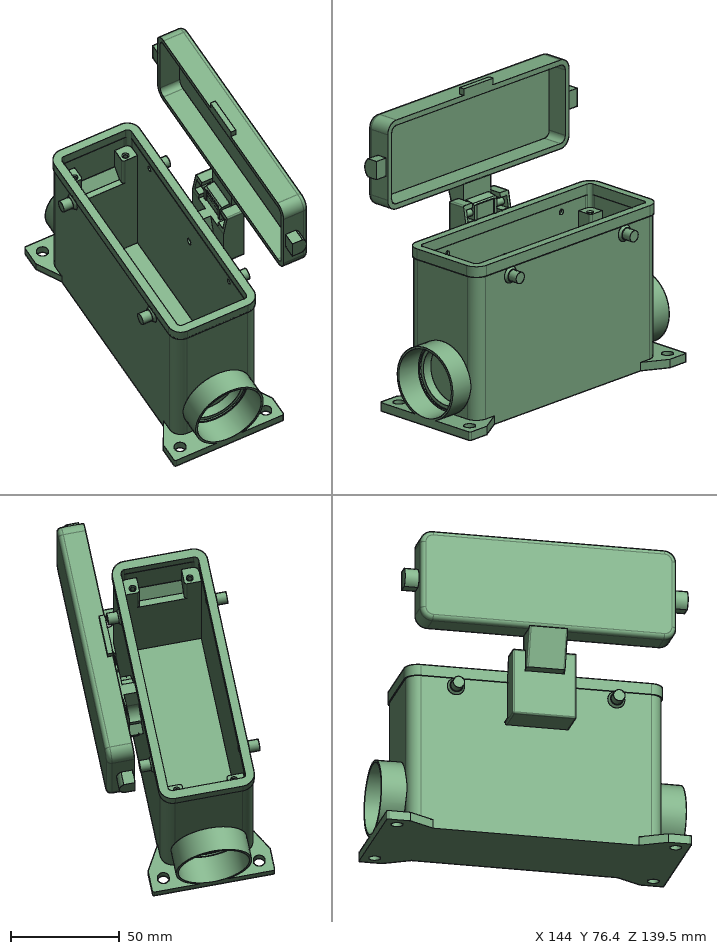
import cadquery as cq
import math

BODY_LENGTH = 120.7
BODY_WIDTH = 43.5
BODY_CORNER_RADIUS = 5.9
HOUSING_HEIGHT = 79.8
RIM_HEIGHT = 5.3
RIM_OVERHANG = 0.6
CAVITY_LENGTH = 113.5
CAVITY_WIDTH = 36.3
CAVITY_CORNER_RADIUS = 2.0
CAVITY_UNDERCUT = 0.1
LOWER_CAVITY_CORNER_RADIUS = 2.9
FLOOR_THICKNESS = 4.2

BODY_SIDE_Y = BODY_WIDTH / 2
CAVITY_END_X = CAVITY_LENGTH / 2
CAVITY_SIDE_Y = CAVITY_WIDTH / 2

POST_LENGTH = 7.5
POST_WIDTH = 7.6
POST_TOP_Z = 68.1
POST_EDGE_RADIUS = 1.2
SCREW_HOLE_RADIUS = 1.0
SCREW_HOLE_CHAMFER = 0.6
SCREW_HOLE_DEPTH = 14.4
SCREW_HOLE_X = 51.8
SCREW_HOLE_Y = 13.4
RAMP_TOP_Z = 56.3
RAMP_RUN = 4.5
WALL_OVERLAP = 1.5

FOOT_END_X = 72.0
FOOT_WIDTH = 57.3
FOOT_THICKNESS = 4.2
FOOT_STRAIGHT_X = 60.9
FOOT_INNER_X = 48.7
FOOT_CORNER_RADIUS = 0.9
MOUNT_HOLE_RADIUS = 2.7
MOUNT_HOLE_X = 65.8
MOUNT_HOLE_Y = 22.5

ENTRY_RADIUS = 17.7
ENTRY_Z = 20.6
ENTRY_BORE_RADIUS = 16.7
ENTRY_BORE_DEPTH = 13.0
ENTRY_STEP_RADIUS = 16.0
ENTRY_STEP_DEPTH = 13.8
KNOCKOUT_RADIUS = 14.3
KNOCKOUT_DEPTH = 18.7

PEG_RADIUS = 2.7
PEG_TIP_Y = 28.0
PEG_X = 37.9
PEG_Z = 70.5
PEG_BASE_RADIUS = 4.0
PEG_BASE_TIP_RADIUS = 3.0
PEG_BASE_HEIGHT = 1.3
PEG_DIMPLE_RADIUS = 1.3
RIVET_DIMPLE_RADIUS = 1.6
RIVET_DIMPLE_Z = 58.6
DIMPLE_DEPTH = 1.5

PEDESTAL_TOP_Z = 74.3
PEDESTAL_BOTTOM_Z = 54.9
PEDESTAL_TOP_HALF_WIDTH = 2.6
PEDESTAL_NECK_HALF_WIDTH = 4.9
PEDESTAL_NECK_Z = 66.1
PEDESTAL_SHOULDER_Z = 60.2
PEDESTAL_FLARE_HALF_WIDTH = 10.8
PEDESTAL_FLARE_Z = 57.9
BRACKET_HALF_WIDTH = 15.0
BRACKET_FRONT_Y = 28.2
BRACKET_BACK_Y = 39.3
BRACKET_TOP_FRONT_Y = 30.1
BRACKET_BOTTOM_Z = 53.0
BRACKET_TOP_Z = 84.7
FLANGE_FRONT_Y = 23.8
BRACKET_EDGE_RADIUS = 0.7
SLOT_HALF_WIDTH = 9.2
PIN_RADIUS = 1.7
PIN_Y = 32.8
PIN_Z = 78.9
POCKET_SIDE_X = 13.4
POCKET_BOTTOM_Z = 76.6
POCKET_TOP_Z = 82.4
POCKET_BACK_Y = 34.5

COVER_LENGTH = 120.7
COVER_BOTTOM_Z = 92.7
COVER_TOP_Z = 136.4
COVER_FRONT_Y = 34.8
COVER_BACK_Y = 47.7
COVER_CORNER_RADIUS = 5.8
COVER_BACK_RADIUS = 2.3
COVER_WALL = 2.6
COVER_CAVITY_DEPTH = 10.2
TAB_HALF_WIDTH = 9.8
TAB_THICKNESS = 2.6
TAB_TOP_Z = 139.5
EAR_TIP_X = 66.8
EAR_HALF_HEIGHT = 4.5
EAR_FRONT_Y = 35.9
EAR_ROUND_Y = 41.2
EAR_BACK_Y = 43.3
COVER_CENTRE_Z = (COVER_BOTTOM_Z + COVER_TOP_Z) / 2

STEM_HALF_WIDTH = 9.0
STEM_FRONT_Y = 35.5
STEM_BOTTOM_Z = 75.3
STEM_BOTTOM_BACK_Y = 42.0
STEM_TOP_BACK_Y = 47.5
STEM_TOP_Z = 93.6
STEM_EDGE_RADIUS = 0.7
KNUCKLE_HALF_WIDTH = 7.5
KNUCKLE_FRONT_Y = 30.2
KNUCKLE_TOP_Z = 84.4
KNUCKLE_LEDGE_Y = 31.4
KNUCKLE_LEDGE_Z = 83.5
KNUCKLE_LIP_Z = 82.8
KNUCKLE_RECESS_HALF_WIDTH = 5.8
KNUCKLE_RECESS_DEPTH = 0.6

ENDS = (-1, 1)
SIDES = (-1, 1)


def block(x0, x1, y0, y1, z0, z1):
    """Axis-aligned box between two opposite corners."""
    return cq.Workplane("XY").box(x1 - x0, y1 - y0, z1 - z0, centered=False).translate((x0, y0, z0))


def upright_block(length, width, radius, z0, z1):
    """Box centred on the Z axis with rounded vertical edges."""
    box = block(-length / 2, length / 2, -width / 2, width / 2, z0, z1)
    return box.edges("|Z").fillet(radius)


def cylinder_x(radius, x0, x1, y, z):
    """Round bar along X."""
    return cq.Workplane("YZ", origin=(x0, 0, 0)).center(y, z).circle(radius).extrude(x1 - x0)


def cylinder_y(radius, y0, y1, x, z):
    """Round bar along Y, from y0 towards y1."""
    return cq.Workplane(cq.Solid.makeCylinder(
        radius, abs(y1 - y0), cq.Vector(x, y0, z), cq.Vector(0, math.copysign(1, y1 - y0), 0)))


def make_shell_outside():
    """Rounded tower with a slightly wider band at its top."""
    body = upright_block(BODY_LENGTH, BODY_WIDTH, BODY_CORNER_RADIUS, 0, HOUSING_HEIGHT)
    rim = upright_block(
        BODY_LENGTH + 2 * RIM_OVERHANG, BODY_WIDTH + 2 * RIM_OVERHANG,
        BODY_CORNER_RADIUS + RIM_OVERHANG, HOUSING_HEIGHT - RIM_HEIGHT, HOUSING_HEIGHT)
    return body.union(rim)


def make_cavity():
    """Open-topped cavity, slightly wider below the rim."""
    mouth = upright_block(CAVITY_LENGTH, CAVITY_WIDTH, CAVITY_CORNER_RADIUS, FLOOR_THICKNESS, HOUSING_HEIGHT)
    lower = upright_block(
        CAVITY_LENGTH + 2 * CAVITY_UNDERCUT, CAVITY_WIDTH + 2 * CAVITY_UNDERCUT,
        LOWER_CAVITY_CORNER_RADIUS, FLOOR_THICKNESS, HOUSING_HEIGHT - RIM_HEIGHT)
    return mouth.union(lower)


def make_foot(end):
    """Tapered mounting foot at one end, with two screw holes."""
    half_width = FOOT_WIDTH / 2
    outline = [
        (FOOT_INNER_X, -BODY_SIDE_Y),
        (FOOT_STRAIGHT_X, -half_width),
        (FOOT_END_X, -half_width),
        (FOOT_END_X, half_width),
        (FOOT_STRAIGHT_X, half_width),
        (FOOT_INNER_X, BODY_SIDE_Y),
    ]
    foot = cq.Workplane("XY").polyline(outline).close().extrude(FOOT_THICKNESS)
    foot = foot.edges("|Z and >X").fillet(FOOT_CORNER_RADIUS)
    holes = (
        cq.Workplane("XY")
        .pushPoints([(MOUNT_HOLE_X, -MOUNT_HOLE_Y), (MOUNT_HOLE_X, MOUNT_HOLE_Y)])
        .circle(MOUNT_HOLE_RADIUS)
        .extrude(FOOT_THICKNESS)
    )
    foot = foot.cut(holes)
    return foot if end > 0 else foot.mirror("YZ")


def make_entry(end):
    """Round cable entry boss that stands out from one end wall."""
    boss = cylinder_x(ENTRY_RADIUS, CAVITY_END_X, FOOT_END_X, 0, ENTRY_Z)
    return boss if end > 0 else boss.mirror("YZ")


def make_entry_bore(end):
    """Stepped blind bore of a cable entry, closed by the block behind the wall."""
    bore = cylinder_x(ENTRY_BORE_RADIUS, FOOT_END_X - ENTRY_BORE_DEPTH, FOOT_END_X, 0, ENTRY_Z)
    bore = bore.union(cylinder_x(ENTRY_STEP_RADIUS, FOOT_END_X - ENTRY_STEP_DEPTH, FOOT_END_X, 0, ENTRY_Z))
    bore = bore.union(cylinder_x(KNOCKOUT_RADIUS, FOOT_END_X - KNOCKOUT_DEPTH, FOOT_END_X, 0, ENTRY_Z))
    return bore if end > 0 else bore.mirror("YZ")


def make_end_block(end):
    """Block inside one end wall: sloped on top, with a screw post in each corner."""
    inner_x = CAVITY_END_X - POST_LENGTH
    root_x = CAVITY_END_X + WALL_OVERLAP
    ledge_z = RAMP_TOP_Z - RAMP_RUN
    profile = [
        (inner_x, 0),
        (inner_x, ledge_z),
        (CAVITY_END_X - RAMP_RUN, ledge_z),
        (CAVITY_END_X, RAMP_TOP_Z),
        (root_x, RAMP_TOP_Z),
        (root_x, 0),
    ]
    blocks = cq.Workplane("XZ").polyline(profile).close().extrude(CAVITY_SIDE_Y, both=True)
    post_inner_y = CAVITY_SIDE_Y - POST_WIDTH
    post = block(inner_x, root_x, post_inner_y, CAVITY_SIDE_Y + WALL_OVERLAP, 0, POST_TOP_Z)
    post = post.edges("|Z and <X and <Y").fillet(POST_EDGE_RADIUS)
    hole = cq.Workplane("XY", origin=(SCREW_HOLE_X, SCREW_HOLE_Y, POST_TOP_Z))
    post = post.cut(hole.circle(SCREW_HOLE_RADIUS).extrude(-SCREW_HOLE_DEPTH))
    countersink = cq.Solid.makeCone(
        SCREW_HOLE_RADIUS, SCREW_HOLE_RADIUS + SCREW_HOLE_CHAMFER, SCREW_HOLE_CHAMFER,
        cq.Vector(SCREW_HOLE_X, SCREW_HOLE_Y, POST_TOP_Z - SCREW_HOLE_CHAMFER))
    post = post.cut(cq.Workplane(countersink))
    blocks = blocks.union(post).union(post.mirror("XZ"))
    return blocks if end > 0 else blocks.mirror("YZ")


def make_peg(x, side):
    """Locking peg with a conical base on one long wall."""
    wall_y = side * BODY_SIDE_Y
    pin = cylinder_y(PEG_RADIUS, wall_y - side * WALL_OVERLAP, side * PEG_TIP_Y, x, PEG_Z)
    base = cq.Solid.makeCone(
        PEG_BASE_RADIUS, PEG_BASE_TIP_RADIUS, PEG_BASE_HEIGHT,
        cq.Vector(x, wall_y, PEG_Z), cq.Vector(0, side, 0))
    return pin.union(cq.Workplane(base))


def make_pedestal():
    """Flared pad on the back wall that carries the hinge bracket."""
    flare_run = PEDESTAL_FLARE_HALF_WIDTH - PEDESTAL_NECK_HALF_WIDTH
    flare_drop = PEDESTAL_NECK_Z - PEDESTAL_SHOULDER_Z
    middle_x = PEDESTAL_FLARE_HALF_WIDTH - flare_run * math.sqrt(0.5)
    middle_z = PEDESTAL_NECK_Z - flare_drop * math.sqrt(0.5)
    root_y = CAVITY_SIDE_Y + WALL_OVERLAP
    profile = (
        cq.Workplane("XZ", origin=(0, root_y, 0))
        .moveTo(-PEDESTAL_TOP_HALF_WIDTH, PEDESTAL_TOP_Z)
        .lineTo(PEDESTAL_TOP_HALF_WIDTH, PEDESTAL_TOP_Z)
        .lineTo(PEDESTAL_NECK_HALF_WIDTH, PEDESTAL_NECK_Z)
        .threePointArc((middle_x, middle_z), (PEDESTAL_FLARE_HALF_WIDTH, PEDESTAL_SHOULDER_Z))
        .lineTo(PEDESTAL_FLARE_HALF_WIDTH, PEDESTAL_FLARE_Z)
        .lineTo(BRACKET_HALF_WIDTH, PEDESTAL_BOTTOM_Z)
        .lineTo(-BRACKET_HALF_WIDTH, PEDESTAL_BOTTOM_Z)
        .lineTo(-PEDESTAL_FLARE_HALF_WIDTH, PEDESTAL_FLARE_Z)
        .lineTo(-PEDESTAL_FLARE_HALF_WIDTH, PEDESTAL_SHOULDER_Z)
        .threePointArc((-middle_x, middle_z), (-PEDESTAL_NECK_HALF_WIDTH, PEDESTAL_NECK_Z))
        .close()
    )
    return profile.extrude(root_y - BRACKET_FRONT_Y)


def make_bracket():
    """Hinge bracket: two cheeks around an open slot, with the hinge pin across it."""
    side_profile = [
        (FLANGE_FRONT_Y, BRACKET_BOTTOM_Z),
        (BRACKET_BACK_Y, BRACKET_BOTTOM_Z),
        (BRACKET_BACK_Y, BRACKET_TOP_Z),
        (BRACKET_TOP_FRONT_Y, BRACKET_TOP_Z),
        (BRACKET_FRONT_Y, PEDESTAL_TOP_Z),
        (BRACKET_FRONT_Y, PEDESTAL_BOTTOM_Z),
        (FLANGE_FRONT_Y, PEDESTAL_BOTTOM_Z),
    ]
    bracket = cq.Workplane("YZ").polyline(side_profile).close().extrude(BRACKET_HALF_WIDTH, both=True)
    for edges_at in (">Y", ">Z", "<Z"):
        bracket = bracket.faces(edges_at).edges("<X or >X").fillet(BRACKET_EDGE_RADIUS)
    slot = block(
        -SLOT_HALF_WIDTH, SLOT_HALF_WIDTH, BRACKET_FRONT_Y, BRACKET_BACK_Y, PEDESTAL_TOP_Z, BRACKET_TOP_Z)
    pockets = block(
        -POCKET_SIDE_X, POCKET_SIDE_X, BRACKET_FRONT_Y, POCKET_BACK_Y, POCKET_BOTTOM_Z, POCKET_TOP_Z)
    pin = cylinder_x(PIN_RADIUS, -POCKET_SIDE_X, POCKET_SIDE_X, PIN_Y, PIN_Z)
    return bracket.cut(slot).cut(pockets).union(pin)


def make_dimples():
    """Shallow round marks in the inner faces of the long walls."""
    reach = CAVITY_SIDE_Y + DIMPLE_DEPTH
    dimples = cylinder_y(RIVET_DIMPLE_RADIUS, CAVITY_SIDE_Y, reach, 0, RIVET_DIMPLE_Z)
    for x in (-PEG_X, PEG_X):
        dimples = dimples.union(cylinder_y(PEG_DIMPLE_RADIUS, -reach, reach, x, PEG_Z))
    return dimples


def make_housing():
    """Housing with feet, cable entries, pegs and the fixed half of the hinge."""
    housing = make_shell_outside()
    for end in ENDS:
        housing = housing.union(make_foot(end)).union(make_entry(end))
    housing = housing.union(make_pedestal()).union(make_bracket())
    housing = housing.cut(make_cavity())
    for end in ENDS:
        housing = housing.union(make_end_block(end)).cut(make_entry_bore(end))
        for side in SIDES:
            housing = housing.union(make_peg(end * PEG_X, side))
    return housing.cut(make_dimples())


def cover_block(inset, y0, y1):
    """Upright plate with the cover's rounded outline, shrunk by an inset."""
    half = COVER_LENGTH / 2 - inset
    plate = block(-half, half, y0, y1, COVER_BOTTOM_Z + inset, COVER_TOP_Z - inset)
    return plate.edges("|Y").fillet(COVER_CORNER_RADIUS - inset)


def make_ear(end):
    """D-shaped stub on one end of the cover, round side to the back."""
    ear = (
        cq.Workplane("YZ", origin=(COVER_LENGTH / 2 - COVER_WALL / 2, 0, 0))
        .moveTo(EAR_FRONT_Y, COVER_CENTRE_Z - EAR_HALF_HEIGHT)
        .lineTo(EAR_ROUND_Y, COVER_CENTRE_Z - EAR_HALF_HEIGHT)
        .threePointArc((EAR_BACK_Y, COVER_CENTRE_Z), (EAR_ROUND_Y, COVER_CENTRE_Z + EAR_HALF_HEIGHT))
        .lineTo(EAR_FRONT_Y, COVER_CENTRE_Z + EAR_HALF_HEIGHT)
        .close()
        .extrude(EAR_TIP_X - COVER_LENGTH / 2 + COVER_WALL / 2)
    )
    return ear if end > 0 else ear.mirror("YZ")


def make_stem():
    """Arm below the cover, ending in the knuckle that turns on the hinge pin."""
    profile = [
        (STEM_FRONT_Y, STEM_BOTTOM_Z),
        (STEM_BOTTOM_BACK_Y, STEM_BOTTOM_Z),
        (STEM_TOP_BACK_Y, STEM_TOP_Z),
        (STEM_FRONT_Y, STEM_TOP_Z),
    ]
    stem = cq.Workplane("YZ").polyline(profile).close().extrude(STEM_HALF_WIDTH, both=True)
    stem = stem.faces(">Y").edges("<X or >X").fillet(STEM_EDGE_RADIUS)
    knuckle_profile = [
        (STEM_FRONT_Y, STEM_BOTTOM_Z),
        (STEM_FRONT_Y, KNUCKLE_TOP_Z),
        (KNUCKLE_LEDGE_Y, KNUCKLE_LEDGE_Z),
        (KNUCKLE_FRONT_Y, KNUCKLE_LIP_Z),
        (KNUCKLE_FRONT_Y, STEM_BOTTOM_Z),
    ]
    knuckle = cq.Workplane("YZ").polyline(knuckle_profile).close().extrude(KNUCKLE_HALF_WIDTH, both=True)
    recess = block(
        -KNUCKLE_RECESS_HALF_WIDTH, KNUCKLE_RECESS_HALF_WIDTH,
        KNUCKLE_FRONT_Y, KNUCKLE_FRONT_Y + KNUCKLE_RECESS_DEPTH,
        STEM_BOTTOM_Z, KNUCKLE_LIP_Z)
    pin_bore = cylinder_x(PIN_RADIUS, -STEM_HALF_WIDTH, STEM_HALF_WIDTH, PIN_Y, PIN_Z)
    return stem.union(knuckle.cut(recess)).cut(pin_bore)


def make_cover():
    """Tray-shaped cover standing open on its hinge arm."""
    cover = cover_block(0, COVER_FRONT_Y, COVER_BACK_Y)
    cover = cover.faces(">Y").edges().fillet(COVER_BACK_RADIUS)
    tab = block(
        -TAB_HALF_WIDTH, TAB_HALF_WIDTH, COVER_FRONT_Y, COVER_FRONT_Y + TAB_THICKNESS,
        COVER_TOP_Z - COVER_WALL / 2, TAB_TOP_Z)
    cover = cover.union(tab)
    for end in ENDS:
        cover = cover.union(make_ear(end))
    cover = cover.union(make_stem())
    return cover.cut(cover_block(COVER_WALL, COVER_FRONT_Y, COVER_FRONT_Y + COVER_CAVITY_DEPTH))


housing = make_housing()
cover = make_cover()
result = cq.Compound.makeCompound([housing.val(), cover.val()])